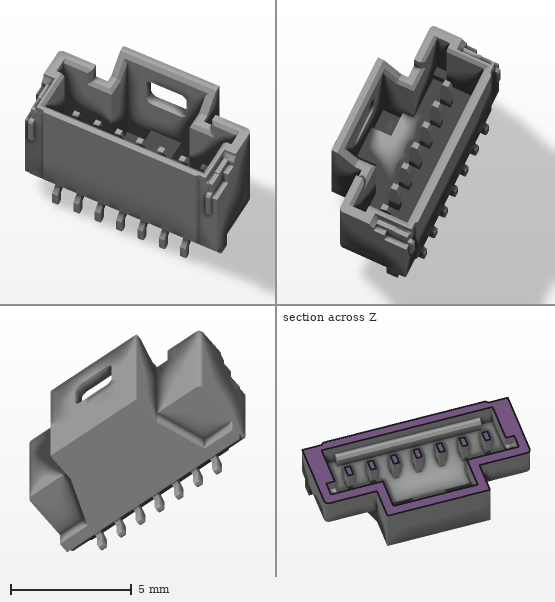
import cadquery as cq
import math


body_width = 9.0
body_height = 5.35
half_width = body_width / 2
rear_y = 0.95
end_front_y = -2.15
panel_front_y = -2.25
panel_half_width = 3.65
panel_bevel = end_front_y - panel_front_y
corner_radius = 0.2

foot_back_y = -1.755
ledge_z = 0.52
ledge_y = -2.04

tower_half_width = 2.25
tower_rear_y = 2.35
slope_start_y = 2.07
notch_z = 4.55
slope_end_y = slope_start_y - (body_height - notch_z)
notch_half_width = 2.8

floor_z = 1.0
cavity_half_width = 3.725
cavity_front_y = -1.85
cavity_rear_y = 0.5
tower_inner_half_width = 1.83
tower_inner_y = 1.9
rim_bevel = 0.15

relief_half_width = 4.095
relief_front_y = -0.1
relief_floor_z = 1.5

sunk_front_y = 1.0
sunk_floor_z = 0.2
hump_top_half_width = 0.7
hump_base_half_width = 0.96

window_width = 1.9
window_bottom_z = 2.8
window_height = 1.5
window_radius = 0.3

rib_half_width = 3.15
rib_back_y = -1.575
rib_bevel = 0.115
rib_top_z = 1.5

undercut_height = 0.75
undercut_front_y = -1.25
undercut_angle = 20.0

slot_inner_x = 3.97
tab_inner_x = 4.055
tab_width = 0.2
slot_rear_y = -0.476
slot_slope_top_z = 5.21
tab_rear_y = -0.672
slot_slope_bottom_z = 5.0
slot_step_y = -1.15
slot_step_z = 4.745
slot_floor_z = 4.165
slot_wall_base_z = 4.925
tab_rear_top_z = 5.05
tab_front_top_z = 4.985
tab_top_step_y = -1.49
tab_front_y = -2.09
hook_front_y = -2.345
hook_top_z = 4.41
hook_bottom_z = 3.11
hook_bevel = 0.09

pin_count = 7
pin_pitch = 1.0
pin_width = 0.25
pin_front_y = -2.35
pin_bottom_z = -0.55
leg_thickness = 0.34
leg_bend_top_y = -1.98
leg_bend_base_z = 0.14
leg_bend_inner = 0.12
leg_tip_bevel = 0.09
contact_front_y = -0.695
contact_rear_y = -0.22
contact_tip_z = 3.5
contact_bevel = 0.11
contact_bevel_height = 0.6

clearance = 1.0


def box(x0, x1, y0, y1, z0, z1):
    return cq.Workplane("XY").box(x1 - x0, y1 - y0, z1 - z0, centered=False).translate((x0, y0, z0))


def side_profile(points, x0, x1):
    """Extrude a (Y, Z) outline from x0 to x1."""
    return cq.Workplane("YZ", origin=(x0, 0, 0)).polyline(points).close().extrude(x1 - x0)


def front_profile(points, y0, y1):
    """Extrude an (X, Z) outline from y0 to y1."""
    return cq.Workplane("XZ", origin=(0, y0, 0)).polyline(points).close().extrude(y0 - y1)


def with_mirror(solid):
    return solid.union(solid.mirror("YZ"))


def funnel(x_half, y0, y1, grow_x, grow_y0, grow_y1, top_z):
    """Opening bevel: a rectangle at bevel depth that flares out to the rim."""
    grown_half = x_half + grow_x
    lower = cq.Workplane("XY").box(2 * x_half, y1 - y0, clearance, centered=(True, False, False))
    lower = lower.translate((0, y0, top_z - rim_bevel))
    flare = (
        cq.Workplane("XY", origin=(0, (y0 + y1) / 2, top_z - rim_bevel))
        .rect(2 * x_half, y1 - y0)
        .workplane(offset=rim_bevel)
        .center(0, (grow_y1 - grow_y0) / 2)
        .rect(2 * grown_half, y1 - y0 + grow_y0 + grow_y1)
        .loft(ruled=True)
    )
    return lower.union(flare)


def make_shroud():
    shroud = box(-half_width, half_width, end_front_y, rear_y, 0, body_height)
    shroud = shroud.edges("|Z and >Y").fillet(corner_radius)
    panel_plan = [
        (-panel_half_width, end_front_y),
        (-panel_half_width + panel_bevel, panel_front_y),
        (panel_half_width - panel_bevel, panel_front_y),
        (panel_half_width, end_front_y),
    ]
    panel = cq.Workplane("XY").polyline(panel_plan).close().extrude(body_height)
    tower = box(-tower_half_width, tower_half_width, 0, tower_rear_y, 0, body_height)
    shroud = shroud.union(panel).union(tower)
    ledge_bevel_reach = ledge_y - panel_front_y + clearance
    underside = [
        (foot_back_y, -clearance),
        (foot_back_y, ledge_z),
        (ledge_y, ledge_z),
        (ledge_y - ledge_bevel_reach, ledge_z + ledge_bevel_reach),
        (ledge_y - ledge_bevel_reach, -clearance),
    ]
    return shroud.cut(side_profile(underside, -half_width, half_width))


def make_undercut():
    slant = (rear_y - undercut_front_y) * math.tan(math.radians(undercut_angle))
    plan = [
        (-half_width, undercut_front_y),
        (-tower_half_width - slant, undercut_front_y),
        (-tower_half_width, rear_y),
        (-half_width, rear_y),
    ]
    return with_mirror(cq.Workplane("XY").polyline(plan).close().extrude(undercut_height))


def make_rear_notch():
    top_z = body_height + clearance
    slope = [
        (slope_start_y + clearance, top_z),
        (slope_end_y, notch_z),
        (rear_y, notch_z),
        (rear_y, top_z),
    ]
    tower_cut = side_profile(slope, -tower_half_width, tower_half_width)
    flare_y = cavity_rear_y + rim_bevel
    plan = [
        (-notch_half_width, rear_y),
        (-notch_half_width, flare_y),
        (-notch_half_width - rim_bevel, cavity_rear_y),
        (notch_half_width + rim_bevel, cavity_rear_y),
        (notch_half_width, flare_y),
        (notch_half_width, rear_y),
    ]
    wall_cut = cq.Workplane("XY", origin=(0, 0, notch_z)).polyline(plan).close()
    return tower_cut.union(wall_cut.extrude(top_z - notch_z))


def make_cavity():
    top_z = body_height + clearance
    cavity = box(-cavity_half_width, cavity_half_width, cavity_front_y, cavity_rear_y, floor_z, top_z)
    tower_well = box(-tower_inner_half_width, tower_inner_half_width, 0, tower_inner_y, floor_z, top_z)
    relief = box(-relief_half_width, relief_half_width, relief_front_y, cavity_rear_y, relief_floor_z, top_z)
    return cavity.union(tower_well).union(relief)


def make_opening_bevels():
    main = funnel(cavity_half_width, cavity_front_y, relief_front_y, rim_bevel, rim_bevel, 0, body_height)
    rear = funnel(relief_half_width, relief_front_y, cavity_rear_y, 0, 0, rim_bevel, body_height)
    low_rear = funnel(notch_half_width + rim_bevel, relief_front_y, cavity_rear_y, 0, 0, rim_bevel, notch_z)
    neck = funnel(tower_inner_half_width, 0, slope_end_y, rim_bevel, 0, 0, notch_z)
    return main.union(rear).union(low_rear).union(neck).union(make_slope_bevel())


def make_slope_bevel():
    """Bevel along the inner edges of the sloped tower sides, following the 45 degree slope."""
    inner_x = tower_inner_half_width
    drop = rim_bevel * math.sqrt(2)
    corners = [(inner_x, -drop), (inner_x + rim_bevel, 0), (inner_x, drop)]
    triangle = [cq.Vector(x, slope_end_y, notch_z + dz) for x, dz in corners]
    rise = tower_inner_y - slope_end_y
    wire = cq.Wire.makePolygon(triangle, close=True)
    strip = cq.Solid.extrudeLinear(wire, [], cq.Vector(0, rise, rise))
    return with_mirror(cq.Workplane(obj=strip))


def make_sunk_corners():
    outline = [
        (hump_top_half_width, floor_z),
        (hump_base_half_width, sunk_floor_z),
        (tower_inner_half_width, sunk_floor_z),
        (tower_inner_half_width, floor_z),
    ]
    return with_mirror(front_profile(outline, sunk_front_y, tower_inner_y))


def make_window():
    center_z = window_bottom_z + window_height / 2
    window = cq.Workplane("XZ", origin=(0, tower_rear_y, center_z)).rect(window_width, window_height)
    return window.extrude(tower_rear_y - tower_inner_y).edges("|Y").fillet(window_radius)


def make_rib():
    outline = [
        (cavity_front_y, floor_z),
        (cavity_front_y, rib_top_z),
        (rib_back_y - rib_bevel, rib_top_z),
        (rib_back_y, rib_top_z - rib_bevel),
        (rib_back_y, floor_z),
    ]
    return side_profile(outline, -rib_half_width, rib_half_width)


def make_side_slots():
    top_z = body_height + clearance
    front_y = end_front_y - clearance
    steps = [
        (slot_rear_y, top_z),
        (slot_rear_y, slot_slope_top_z),
        (tab_rear_y, slot_slope_bottom_z),
        (tab_rear_y, slot_step_z),
        (slot_step_y, slot_step_z),
        (slot_step_y, slot_floor_z),
        (front_y, slot_floor_z),
        (front_y, top_z),
    ]
    wall_slope = tab_inner_x - slot_inner_x
    section = [
        (-half_width, 0),
        (-tab_inner_x, 0),
        (-tab_inner_x, slot_wall_base_z),
        (-slot_inner_x, slot_wall_base_z + wall_slope),
        (-slot_inner_x, top_z),
        (-half_width, top_z),
    ]
    slot = side_profile(steps, -half_width, -slot_inner_x)
    return with_mirror(slot.intersect(front_profile(section, front_y, rear_y)))


def make_tabs():
    outline = [
        (tab_rear_y, slot_step_z),
        (tab_rear_y, tab_rear_top_z),
        (tab_top_step_y, tab_rear_top_z),
        (tab_top_step_y, tab_front_top_z),
        (tab_front_y, tab_front_top_z),
        (tab_front_y, hook_top_z),
        (hook_front_y + hook_bevel, hook_top_z),
        (hook_front_y, hook_top_z - hook_bevel),
        (hook_front_y, hook_bottom_z + hook_bevel),
        (hook_front_y + hook_bevel, hook_bottom_z),
        (end_front_y, hook_bottom_z),
        (end_front_y, slot_floor_z),
        (slot_step_y, slot_floor_z),
        (slot_step_y, slot_step_z),
    ]
    return with_mirror(side_profile(outline, -tab_inner_x - tab_width, -tab_inner_x))


def make_pin(x_center):
    x0 = x_center - pin_width / 2
    x1 = x_center + pin_width / 2
    leg_rear_y = pin_front_y + leg_thickness
    leg_top_z = ledge_z - (leg_bend_top_y - pin_front_y)
    leg = [
        (foot_back_y, ledge_z),
        (leg_bend_top_y, ledge_z),
        (pin_front_y, leg_top_z),
        (pin_front_y, pin_bottom_z + leg_tip_bevel),
        (pin_front_y + leg_tip_bevel, pin_bottom_z),
        (leg_rear_y - leg_tip_bevel, pin_bottom_z),
        (leg_rear_y, pin_bottom_z + leg_tip_bevel),
        (leg_rear_y, leg_bend_base_z - leg_bend_inner),
        (leg_rear_y + leg_bend_inner, leg_bend_base_z),
        (foot_back_y, leg_bend_base_z),
    ]
    contact = [
        (contact_front_y, floor_z),
        (contact_front_y, contact_tip_z - contact_bevel_height),
        (contact_front_y + contact_bevel, contact_tip_z),
        (contact_rear_y - contact_bevel, contact_tip_z),
        (contact_rear_y, contact_tip_z - contact_bevel_height),
        (contact_rear_y, floor_z),
    ]
    return side_profile(leg, x0, x1).union(side_profile(contact, x0, x1))


housing = make_shroud().cut(make_undercut()).cut(make_rear_notch())
housing = housing.cut(make_cavity()).cut(make_opening_bevels())
housing = housing.cut(make_sunk_corners()).cut(make_window()).cut(make_side_slots())
result = housing.union(make_rib()).union(make_tabs())
for index in range(pin_count):
    result = result.union(make_pin((index - (pin_count - 1) / 2) * pin_pitch))